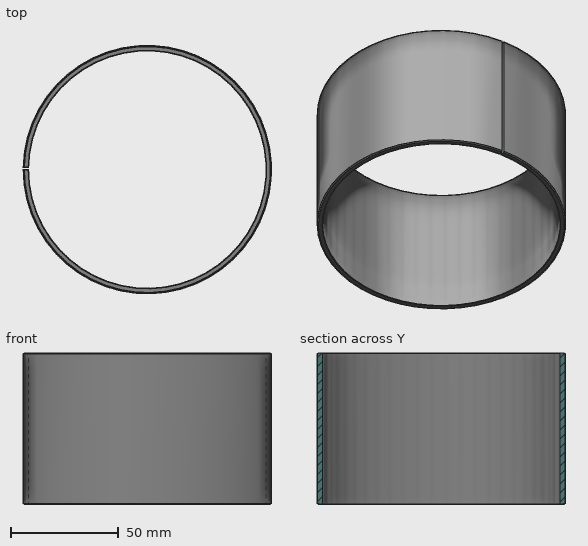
import cadquery as cq

outer_diameter = 115.0
wall = 2.5
height = 70.0
slit_angle = 1.0
outer_chamfer_height = 0.5
outer_chamfer_depth = 0.6
inner_chamfer = 0.2

outer_radius = outer_diameter / 2
inner_radius = outer_radius - wall
half_height = height / 2


def split_sleeve():
    """Revolve the chamfered wall section from the -X axis, stopping short of a full turn."""
    section = [
        (inner_radius, -half_height + inner_chamfer),
        (inner_radius + inner_chamfer, -half_height),
        (outer_radius - outer_chamfer_depth, -half_height),
        (outer_radius, -half_height + outer_chamfer_height),
        (outer_radius, half_height - outer_chamfer_height),
        (outer_radius - outer_chamfer_depth, half_height),
        (inner_radius + inner_chamfer, half_height),
        (inner_radius, half_height - inner_chamfer),
    ]
    wall_section = cq.Workplane("XZ").polyline(section).close()
    ring = wall_section.revolve(360 - slit_angle, (0, 0), (0, 1))
    return ring.rotate((0, 0, 0), (0, 0, 1), 180)


result = split_sleeve()